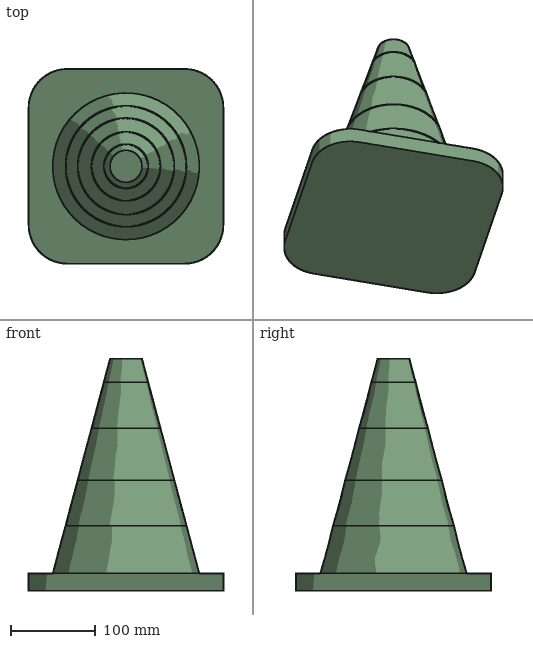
import cadquery as cq

height = 273.8
base_side = 230.0
base_thickness = 20.5
base_corner_radius = 46.0

cone_bottom_radius = 86.5
cone_top_radius = 19.0

band_spans = [(77.0, 130.5), (191.7, 246.2)]
band_thickness = 1.0


def cone_radius(z):
    """Outer radius of the cone at height z."""
    fraction = (z - base_thickness) / (height - base_thickness)
    return cone_bottom_radius + fraction * (cone_top_radius - cone_bottom_radius)


def make_band(bottom, top):
    """Thin conical sleeve, flush with the cone surface."""
    bottom_radius = cone_radius(bottom)
    top_radius = cone_radius(top)
    return (
        cq.Workplane("XZ")
        .moveTo(bottom_radius - band_thickness, bottom)
        .lineTo(bottom_radius, bottom)
        .lineTo(top_radius, top)
        .lineTo(top_radius - band_thickness, top)
        .close()
        .revolve(360, (0, 0, 0), (0, 1, 0))
    )


def make_base():
    """Square foot plate with rounded corners."""
    return (
        cq.Workplane("XY")
        .rect(base_side, base_side)
        .extrude(base_thickness)
        .edges("|Z")
        .fillet(base_corner_radius)
    )


def make_cone():
    """Solid truncated cone standing on the base."""
    return (
        cq.Workplane("XZ")
        .moveTo(0, base_thickness)
        .lineTo(cone_bottom_radius, base_thickness)
        .lineTo(cone_top_radius, height)
        .lineTo(0, height)
        .close()
        .revolve(360, (0, 0, 0), (0, 1, 0))
    )


bands = [make_band(bottom, top) for bottom, top in band_spans]

cone_body = make_base().union(make_cone())
for band in bands:
    cone_body = cone_body.cut(band)

result = cq.Compound.makeCompound([cone_body.val(), *[band.val() for band in bands]])